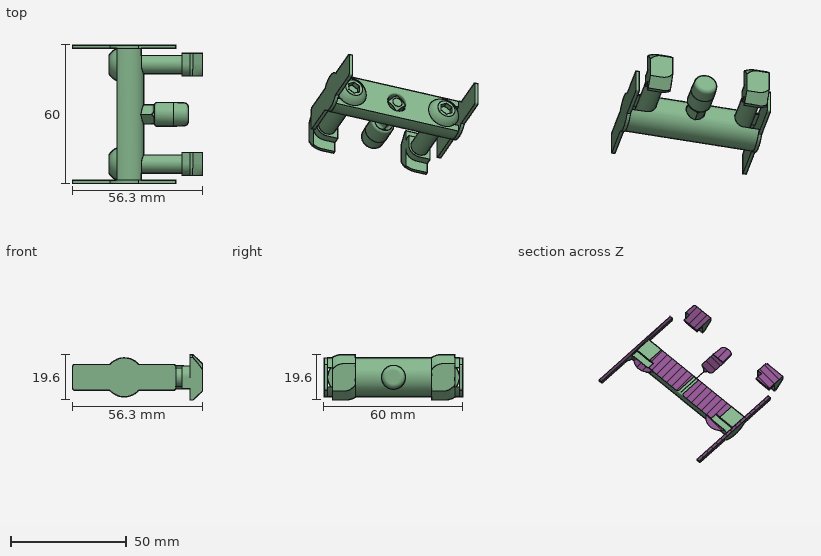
import cadquery as cq
import math


overall_depth = 56.27

bar_radius = 8.5
bar_length = 57.0
bar_flat_x = -3.2
bar_front_step_x = 0.0

cap_length = 44.7
cap_height = 11.3
cap_thickness = 1.5
cap_disc_radius = 8.4
cap_corner_radius = 1.0

bolt_spacing = 43.0
head_radius = 7.0
head_height = 3.4
socket_across_flats = 5.0
socket_depth = 2.5
shank_radius = 4.0
slot_radius = 4.1
front_slot_radius = 4.9

foot_width = 10.0
foot_length = 19.6
foot_thickness = 5.5
foot_collar_height = 3.4
foot_bevel_length = 4.05
foot_bevel_drop = 3.85
foot_swing_radius = 10.0

pin_hole_diameter = 8.5
pin_hole_rounding = 0.75
pin_square = 5.9
pin_stem_end_radius = 2.1
pin_stem_cone_length = 1.0
pin_body_radius = 5.2
pin_neck_radius = 1.6
pin_body_x = 13.05
pin_body_edge_radius = 1.3

tip_start_x = 21.25
tip_end_x = 27.85
tip_front_radius = 4.95
tip_edge_radius = 2.0

foot_end_x = overall_depth - cap_length / 2
foot_half_width = foot_width / 2
foot_half_length = foot_length / 2
foot_flange_x = foot_end_x - foot_thickness
foot_collar_x = foot_flange_x - foot_collar_height
foot_bevel_x = foot_end_x - foot_bevel_length
foot_face_half_length = foot_half_length - foot_bevel_drop
bolt_positions = [-bolt_spacing / 2, bolt_spacing / 2]


def cylinder_x(start, end, radius, y=0.0):
    """Cylinder along X between two X positions."""
    return cq.Workplane("YZ", origin=(start, y, 0)).circle(radius).extrude(end - start)


def revolve_about_x(profile):
    """Turn an (X, radius) half profile about the X axis."""
    return profile.close().revolve(360, (0, 0, 0), (1, 0, 0))


def slot_to_bar_end(start, end, radius, side):
    """Slot along X, round about a bolt axis and open to the bar end on the given side."""
    bolt_y = side * bolt_spacing / 2
    open_length = bar_length / 2 - bolt_spacing / 2
    depth = end - start
    round_end = cylinder_x(start, end, radius, bolt_y)
    open_part = cq.Workplane("XY").box(depth, open_length, 2 * radius).translate(
        ((start + end) / 2, bolt_y + side * open_length / 2, 0)
    )
    return round_end.union(open_part)


def make_bar():
    bar = cq.Workplane("XZ").circle(bar_radius).extrude(bar_length / 2, both=True)
    kept_depth = bar_radius - bar_flat_x
    envelope = cq.Workplane("XY").box(kept_depth, bar_length, 2 * bar_radius)
    bar = bar.intersect(envelope.translate((bar_flat_x + kept_depth / 2, 0, 0)))

    bar = bar.cut(cylinder_x(bar_flat_x, bar_radius, pin_hole_diameter / 2))
    bar = bar.faces("<X").edges("%CIRCLE").fillet(pin_hole_rounding)

    for side in (-1, 1):
        bar = bar.cut(slot_to_bar_end(bar_flat_x, bar_radius, slot_radius, side))
        bar = bar.cut(slot_to_bar_end(bar_flat_x, bar_front_step_x, front_slot_radius, side))
    return bar


def make_cap(side):
    """Flat strip with a round middle that covers one end of the bar."""
    strip = cq.Workplane("XY").box(cap_length, cap_thickness, cap_height)
    strip = strip.edges("|Y").fillet(cap_corner_radius)
    disc = cq.Workplane("XZ").circle(cap_disc_radius).extrude(cap_thickness / 2, both=True)
    return strip.union(disc).translate((0, side * (bar_length + cap_thickness) / 2, 0))


def make_bolt_head():
    """Head with a hexagon socket and a spherical dome centred on the bar axis."""
    front_x = bar_flat_x - head_height
    dome_radius = math.hypot(bar_flat_x, head_radius)
    rim_angle = math.asin(head_radius / dome_radius)
    face_angle = math.acos(-front_x / dome_radius)
    middle_angle = (rim_angle + face_angle) / 2
    dome_middle = (-dome_radius * math.cos(middle_angle), dome_radius * math.sin(middle_angle))
    face_radius = dome_radius * math.sin(face_angle)
    profile = (
        cq.Workplane("XY")
        .moveTo(bar_flat_x, 0)
        .lineTo(bar_flat_x, head_radius)
        .threePointArc(dome_middle, (front_x, face_radius))
        .lineTo(front_x, 0)
    )
    socket_diameter = socket_across_flats / math.cos(math.radians(30))
    socket = (
        cq.Workplane("YZ", origin=(front_x, 0, 0))
        .transformed(rotate=(0, 0, 90))
        .polygon(6, socket_diameter)
        .extrude(socket_depth)
    )
    return revolve_about_x(profile).cut(socket)


def swing_rounded(block, round_tool):
    """Limit a block to a round tool in the two opposite quadrants that lead the turning foot."""
    reach = 2 * foot_end_x
    for side in (-1, 1):
        quadrant = cq.Workplane("XY").box(reach, foot_length, foot_length).translate(
            (foot_end_x, side * foot_half_length, -side * foot_half_length)
        )
        block = block.cut(quadrant.cut(round_tool))
    return block


def make_foot():
    """Hammer foot: a collar below a bevelled flange."""
    collar = cq.Workplane("XY").box(foot_collar_height, foot_width, foot_width)
    collar = collar.translate((foot_collar_x + foot_collar_height / 2, 0, 0))
    collar = swing_rounded(collar, cylinder_x(foot_collar_x, foot_flange_x, foot_half_width))

    flange = (
        cq.Workplane("XZ")
        .moveTo(foot_flange_x, -foot_half_length)
        .lineTo(foot_bevel_x, -foot_half_length)
        .lineTo(foot_end_x, -foot_face_half_length)
        .lineTo(foot_end_x, foot_face_half_length)
        .lineTo(foot_bevel_x, foot_half_length)
        .lineTo(foot_flange_x, foot_half_length)
        .close()
        .extrude(foot_half_width, both=True)
    )
    bevel_slope = foot_bevel_drop / foot_bevel_length
    cone_start_x = foot_bevel_x - (foot_swing_radius - foot_half_length) / bevel_slope
    swing_tool = revolve_about_x(
        cq.Workplane("XY")
        .moveTo(foot_flange_x, 0)
        .lineTo(foot_flange_x, foot_swing_radius)
        .lineTo(cone_start_x, foot_swing_radius)
        .lineTo(foot_end_x, foot_face_half_length)
        .lineTo(foot_end_x, 0)
    )
    return collar.union(swing_rounded(flange, swing_tool))


def make_bolt(y):
    shank = cylinder_x(bar_flat_x, foot_collar_x, shank_radius)
    return shank.union(make_bolt_head()).union(make_foot()).translate((0, y, 0))


def make_stem_slab():
    """Slab whose two flat sides flare out in hollow fillets where they meet the pin body."""
    half_square = pin_square / 2
    flare_half = half_square + pin_neck_radius
    neck_x = pin_body_x - pin_neck_radius
    overlap_x = pin_body_x + pin_body_edge_radius
    return (
        cq.Workplane("XZ")
        .moveTo(bar_flat_x, -half_square)
        .lineTo(neck_x, -half_square)
        .radiusArc((pin_body_x, -flare_half), pin_neck_radius)
        .lineTo(overlap_x, -flare_half)
        .lineTo(overlap_x, flare_half)
        .lineTo(pin_body_x, flare_half)
        .radiusArc((neck_x, half_square), pin_neck_radius)
        .lineTo(bar_flat_x, half_square)
        .close()
        .extrude(2 * flare_half, both=True)
    )


def make_pin():
    """Square stem with a conical front end and a filleted neck, and a round body."""
    stem = make_stem_slab().rotate((0, 0, 0), (1, 0, 0), 45)
    stem = stem.intersect(make_stem_slab().rotate((0, 0, 0), (1, 0, 0), -45))
    corner_radius = pin_square / math.sqrt(2)
    overlap_x = pin_body_x + pin_body_edge_radius
    stem_limit = revolve_about_x(
        cq.Workplane("XY")
        .moveTo(bar_flat_x, 0)
        .lineTo(bar_flat_x, pin_stem_end_radius)
        .lineTo(bar_flat_x + pin_stem_cone_length, corner_radius)
        .lineTo(overlap_x, corner_radius)
        .lineTo(overlap_x, 0)
    )
    body = cylinder_x(pin_body_x, tip_start_x, pin_body_radius)
    body = body.faces("<X").edges().fillet(pin_body_edge_radius)
    return stem.intersect(stem_limit).union(body)


def make_pin_tip():
    """Slightly tapered tip with a rounded front edge, seated on the pin body."""
    tip = revolve_about_x(
        cq.Workplane("XY")
        .moveTo(tip_start_x, 0)
        .lineTo(tip_start_x, pin_body_radius)
        .lineTo(tip_end_x, tip_front_radius)
        .lineTo(tip_end_x, 0)
    )
    return tip.faces(">X").edges().fillet(tip_edge_radius)


bar = make_bar()
caps = [make_cap(side) for side in (-1, 1)]
bolts = [make_bolt(y) for y in bolt_positions]
pin = make_pin()
pin_tip = make_pin_tip()

result = cq.Compound.makeCompound(
    [
        bar.val(),
        *[cap.val() for cap in caps],
        *[bolt.val() for bolt in bolts],
        pin.val(),
        pin_tip.val(),
    ]
)